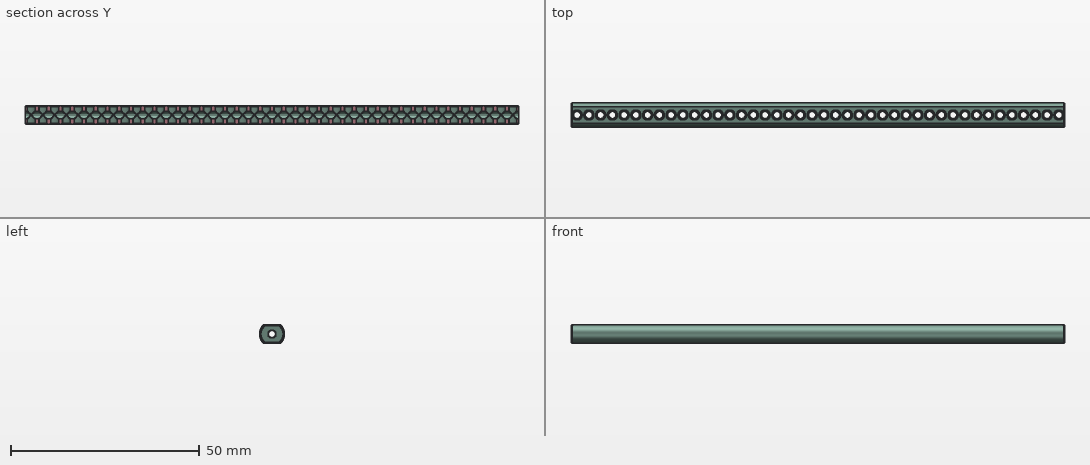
import cadquery as cq

LENGTH = 131.2
ROUND_DIAMETER = 6.5
HEIGHT = 5.0
END_CHAMFER = 0.33

HOLE_DIAMETER = 2.0
HOLE_COUNT = 42
COUNTERSINK_DEPTH = 0.33

HOLE_PITCH = LENGTH / HOLE_COUNT


def flattened_rod():
    """Round rod along X with flats on top and bottom, chamfered all round at both ends."""
    rod = cq.Workplane("YZ").circle(ROUND_DIAMETER / 2).extrude(LENGTH / 2, both=True)
    rod = rod.faces("<X or >X").chamfer(END_CHAMFER)
    slab = cq.Workplane("XY").box(LENGTH, ROUND_DIAMETER, HEIGHT)
    slab = slab.edges("(<X or >X) and |Y").chamfer(END_CHAMFER)
    return rod.intersect(slab)


def lengthwise_bore():
    """Cylinder along X that runs the full length of the rod."""
    return cq.Workplane("YZ").circle(HOLE_DIAMETER / 2).extrude(LENGTH / 2, both=True)


def cross_hole():
    """Vertical cylinder flaring at 45 degrees to a countersink at both flats."""
    inner_radius = HOLE_DIAMETER / 2
    outer_radius = inner_radius + COUNTERSINK_DEPTH
    top = HEIGHT / 2
    neck = top - COUNTERSINK_DEPTH
    half_section = (
        cq.Workplane("XZ")
        .moveTo(0, -top)
        .lineTo(outer_radius, -top)
        .lineTo(inner_radius, -neck)
        .lineTo(inner_radius, neck)
        .lineTo(outer_radius, top)
        .lineTo(0, top)
        .close()
    )
    return half_section.revolve(360, (0, 0), (0, 1))


def cross_holes():
    """Evenly spaced row of cross holes along the rod."""
    hole = cross_hole().val()
    row = cq.Workplane("XY").rarray(HOLE_PITCH, 1.3, HOLE_COUNT, 1)
    return row.eachpoint(lambda place: hole.moved(place))


result = flattened_rod().cut(lengthwise_bore()).cut(cross_holes())